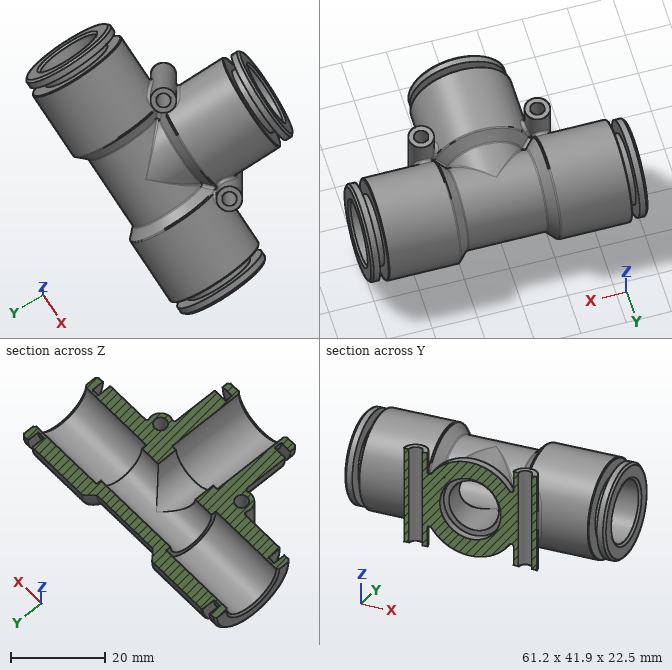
import cadquery as cq
import math


PORT_REACH = 30.6

SHELL_RADIUS = 22.5 / 2
NECK_RADIUS = 9.0
SHELL_END = 26.95
SHOULDER_START = 8.8
SHOULDER_END = SHOULDER_START + SHELL_RADIUS - NECK_RADIUS
SHOULDER_ROUND = 0.5
NECK_FILLET = 0.4
SEAM_FILLET = 0.5
SHELL_EDGE_CHAMFER = 0.2

COLLAR_RADIUS = 21.5 / 2
COLLAR_THICKNESS = 1.9
COLLAR_START = PORT_REACH - COLLAR_THICKNESS
COLLAR_CHAMFER = 0.5
SLEEVE_RADIUS = 15.7 / 2

TUBE_RADIUS = 14.2 / 2
TUBE_STOP = SHOULDER_END
MOUTH_CHAMFER = 0.5
FLOW_RADIUS = 11.7 / 2

POST_RADIUS = 5.5 / 2
POST_HOLE_RADIUS = 3.1 / 2
POST_OFFSET = 12.85
POST_HEIGHT = 2 * SHELL_RADIUS
POST_FILLET = 0.5

TOLERANCE = 1e-3

PORT_ANGLES = (0, 180, -90)


def revolve_about_x(outline):
    return outline.close().revolve(360, (0, 0, 0), (1, 0, 0))


def at_ports(port):
    """Union of one +X port turned to all three port directions."""
    ports = cq.Workplane("XY")
    for angle in PORT_ANGLES:
        ports = ports.union(port.rotate((0, 0, 0), (0, 0, 1), angle))
    return ports


def shell_arm():
    """Neck, 45 degree shoulder with a rounded outer edge, and shell of one port."""
    half_turn = math.radians(45) / 2
    tangent = SHOULDER_ROUND * math.tan(half_turn)
    tangent_step = tangent * math.sin(math.radians(45))
    round_end = SHOULDER_END + tangent
    round_middle = (
        round_end - SHOULDER_ROUND * math.sin(half_turn),
        SHELL_RADIUS - SHOULDER_ROUND * (1 - math.cos(half_turn)),
    )
    outline = (
        cq.Workplane("XY")
        .lineTo(0, NECK_RADIUS)
        .lineTo(SHOULDER_START, NECK_RADIUS)
        .lineTo(SHOULDER_END - tangent_step, SHELL_RADIUS - tangent_step)
        .threePointArc(round_middle, (round_end, SHELL_RADIUS))
        .lineTo(SHELL_END - SHELL_EDGE_CHAMFER, SHELL_RADIUS)
        .lineTo(SHELL_END, SHELL_RADIUS - SHELL_EDGE_CHAMFER)
        .lineTo(SHELL_END, 0)
    )
    return revolve_about_x(outline)


def samples(edge):
    return [edge.positionAt(fraction) for fraction in (0.1, 0.5, 0.9)]


def on_diagonal(edge):
    """True for an edge in a plane midway between the run and the branch."""
    return all(abs(abs(point.x) - abs(point.y)) < TOLERANCE for point in samples(edge))


def at_shoulder_foot(edge):
    """True for an edge where a neck meets its shoulder."""
    points = samples(edge)
    on_run = all(abs(abs(point.x) - SHOULDER_START) < TOLERANCE for point in points)
    on_branch = all(abs(point.y + SHOULDER_START) < TOLERANCE for point in points)
    return on_run or on_branch


def tee_body():
    """Three arms joined, with filleted seams."""
    body = at_ports(shell_arm()).val()
    shoulder_seams = [edge for edge in body.Edges() if on_diagonal(edge) and edge.geomType() == "PARABOLA"]
    body = body.fillet(SEAM_FILLET, shoulder_seams)
    neck_seams = [edge for edge in body.Edges() if on_diagonal(edge) and edge.geomType() == "ELLIPSE"]
    shoulder_feet = [edge for edge in body.Edges() if at_shoulder_foot(edge)]
    return cq.Workplane(body.fillet(NECK_FILLET, neck_seams + shoulder_feet))


def collar():
    """Release collar and the sleeve that carries it, overlapping the shell."""
    outline = (
        cq.Workplane("XY")
        .moveTo(SHOULDER_END, 0)
        .lineTo(SHOULDER_END, SLEEVE_RADIUS)
        .lineTo(COLLAR_START, SLEEVE_RADIUS)
        .lineTo(COLLAR_START, COLLAR_RADIUS)
        .lineTo(PORT_REACH - COLLAR_CHAMFER, COLLAR_RADIUS)
        .lineTo(PORT_REACH, COLLAR_RADIUS - COLLAR_CHAMFER)
        .lineTo(PORT_REACH, 0)
    )
    return revolve_about_x(outline)


def port_bore():
    """Flow passage, tube seat and chamfered mouth of one port."""
    outline = (
        cq.Workplane("XY")
        .lineTo(0, FLOW_RADIUS)
        .lineTo(TUBE_STOP, FLOW_RADIUS)
        .lineTo(TUBE_STOP, TUBE_RADIUS)
        .lineTo(PORT_REACH - MOUTH_CHAMFER, TUBE_RADIUS)
        .lineTo(PORT_REACH, TUBE_RADIUS + MOUTH_CHAMFER)
        .lineTo(PORT_REACH, 0)
    )
    return revolve_about_x(outline)


def post(x, y, radius):
    return cq.Workplane("XY", origin=(x, y, -POST_HEIGHT / 2)).circle(radius).extrude(POST_HEIGHT)


def around_post(edge):
    """True for an edge that runs round the post at (+X, -Y), between its ends."""
    for point in samples(edge):
        distance = math.hypot(point.x - POST_OFFSET, point.y + POST_OFFSET)
        if abs(distance - POST_RADIUS) > TOLERANCE:
            return False
    spans_post = edge.BoundingBox().xlen > TOLERANCE
    return spans_post and abs(edge.Center().z) < POST_HEIGHT / 2 - TOLERANCE


def post_on_arm():
    """Post with the fillet that joins it to the -Y side of an arm along +X."""
    arm = shell_arm()
    joined = arm.union(post(POST_OFFSET, -POST_OFFSET, POST_RADIUS)).val()
    foot = [edge for edge in joined.Edges() if around_post(edge)]
    return cq.Workplane(joined.fillet(POST_FILLET, foot)).cut(arm)


def tee_with_posts():
    """The +X half of the body with a post filleted to run and branch, mirrored to -X."""
    run_side = post_on_arm()
    branch_side = run_side.rotate((0, 0, 0), (0, 0, 1), -90).mirror("YZ")
    whole = tee_body().union(run_side.union(branch_side))
    half_space = cq.Workplane("YZ").rect(3 * PORT_REACH, 3 * PORT_REACH).extrude(PORT_REACH)
    half = whole.intersect(half_space)
    return half.union(half.mirror("YZ"))


def bore_posts(body):
    for x in (-POST_OFFSET, POST_OFFSET):
        body = body.cut(post(x, -POST_OFFSET, POST_HOLE_RADIUS))
    return body


solid_tee = tee_with_posts().union(at_ports(collar()))
result = bore_posts(solid_tee.cut(at_ports(port_bore())))